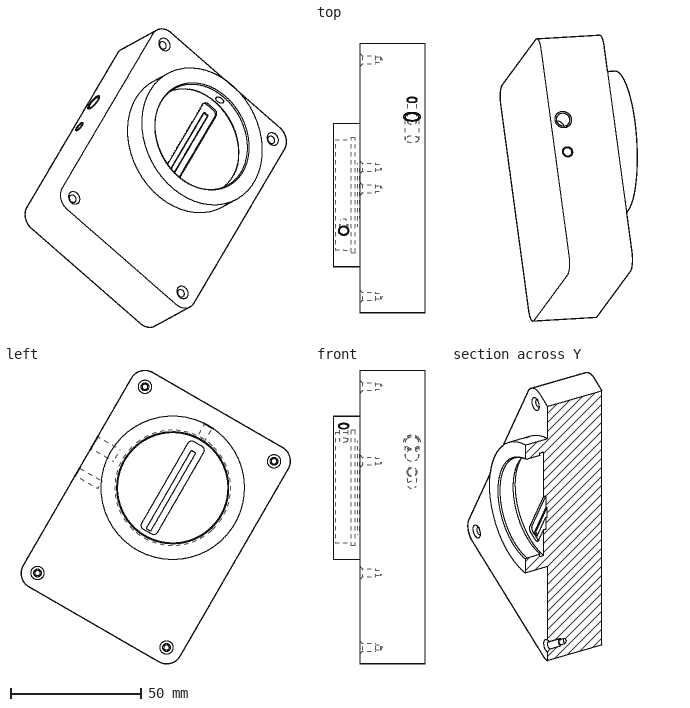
import cadquery as cq
import math

tilt = 30.0
housing_length = 94.9
housing_width = 69.5
housing_thickness = 25.0
corner_radius = 6.0

ring_offset = 13.0
ring_diameter = 55.0
ring_height = 10.1
bore_diameter = 42.3
lip_depth = 6.7
lip_chamfer_radial = 0.35
lip_chamfer_axial = 0.7

groove_width = 1.6
groove_diameter = 44.3

slot_length = 38.8
slot_width = 7.0
slot_corner_radius = 1.75
slot_depth = 1.0
inner_slot_length = 34.6
inner_slot_width = 2.0
inner_slot_corner_radius = 0.3
inner_slot_depth = 0.6
inner_slot_shift = -1.35

thread_step_depth = 0.2
drill_point_angle = 118.0
small_thread_diameter = 4.0
small_tap_diameter = 3.3
large_thread_diameter = 6.5
large_tap_diameter = 5.2

set_screw_setback = 3.9

side_hole_setback = 5.0
side_hole_depth = 10.0

corner_hole_spacing_long = 82.4
corner_hole_spacing_wide = 57.1
corner_thread_diameter = 3.0
corner_tap_diameter = 2.1
corner_thread_depth = 6.0
corner_hole_depth = 8.0
countersink_diameter = 5.1
countersink_angle = 90.0

housing_center_z = -ring_offset
ring_front_x = -ring_height
lip_end_x = ring_front_x + lip_depth
bore_floor_x = lip_end_x + groove_width


def inward_plane(x, z=0.0):
    """Plane at the given X with its normal along +X; local x is Y and local y is Z."""
    return cq.Plane(origin=(x, 0, z), xDir=(0, 1, 0), normal=(1, 0, 0))


def rounded_block(x, z, width, length, depth, radius):
    """Rectangular block reaching from x along +X, with its X-parallel edges rounded."""
    block = cq.Workplane(inward_plane(x, z)).rect(width, length).extrude(depth)
    return block.edges("|X").fillet(radius)


def disc(x, diameter, depth):
    """Cylinder on the ring axis reaching from x along +X."""
    return cq.Workplane(inward_plane(x)).circle(diameter / 2).extrude(depth)


def tapped_hole(plane, thread_diameter, tap_diameter, depth):
    """Tap drill bore with a shallow step of the thread size at its mouth."""
    step = cq.Workplane(plane).circle(thread_diameter / 2).extrude(thread_step_depth)
    bore = cq.Workplane(plane).circle(tap_diameter / 2).extrude(depth)
    return step.union(bore)


def cut_bore(body):
    lip = disc(ring_front_x, bore_diameter, lip_depth)
    groove = disc(lip_end_x, groove_diameter, groove_width)
    chamfer = cq.Solid.makeCone(
        bore_diameter / 2 + lip_chamfer_radial,
        bore_diameter / 2,
        lip_chamfer_axial,
        pnt=cq.Vector(ring_front_x, 0, 0),
        dir=cq.Vector(1, 0, 0),
    )
    return body.cut(lip).cut(groove).cut(cq.Workplane(chamfer))


def cut_stepped_slot(body):
    outer = rounded_block(bore_floor_x, 0, slot_width, slot_length, slot_depth, slot_corner_radius)
    inner = rounded_block(
        bore_floor_x + slot_depth,
        inner_slot_shift,
        inner_slot_width,
        inner_slot_length,
        inner_slot_depth,
        inner_slot_corner_radius,
    )
    return body.cut(outer).cut(inner)


def cut_set_screw_hole(body):
    """Tapped hole from the top of the ring down into the bore."""
    seat_radius = ring_diameter / 2
    rim_drop = seat_radius - math.sqrt(seat_radius**2 - (small_thread_diameter / 2) ** 2)
    mouth = cq.Plane(
        origin=(ring_front_x + set_screw_setback, 0, seat_radius - rim_drop),
        xDir=(1, 0, 0),
        normal=(0, 0, -1),
    )
    wall = (ring_diameter - bore_diameter) / 2
    clearance = cq.Workplane(mouth).circle(small_thread_diameter / 2).extrude(-2 * rim_drop)
    hole = tapped_hole(mouth, small_thread_diameter, small_tap_diameter, wall)
    return body.cut(clearance).cut(hole)


def corner_hole_profile():
    """Half section of a corner hole: local x is the radius, local y the depth."""
    mouth_radius = countersink_diameter / 2
    thread_radius = corner_thread_diameter / 2
    tap_radius = corner_tap_diameter / 2
    countersink_depth = (mouth_radius - thread_radius) / math.tan(math.radians(countersink_angle / 2))
    point_depth = tap_radius / math.tan(math.radians(drill_point_angle / 2))
    return [
        (0, 0),
        (mouth_radius, 0),
        (thread_radius, countersink_depth),
        (thread_radius, corner_thread_depth),
        (tap_radius, corner_thread_depth),
        (tap_radius, corner_hole_depth),
        (0, corner_hole_depth + point_depth),
    ]


def cut_corner_holes(body):
    section = cq.Plane(origin=(0, 0, 0), xDir=(0, 1, 0), normal=(0, 0, -1))
    hole = cq.Workplane(section).polyline(corner_hole_profile()).close().revolve(360, (0, 0), (0, 1))
    for y_side in (-1, 1):
        for z_side in (-1, 1):
            y = y_side * corner_hole_spacing_wide / 2
            z = housing_center_z + z_side * corner_hole_spacing_long / 2
            body = body.cut(hole.translate((0, y, z)))
    return body


def cut_side_hole(body, z, thread_diameter, tap_diameter):
    mouth = cq.Plane(
        origin=(housing_thickness - side_hole_setback, housing_width / 2, z),
        xDir=(1, 0, 0),
        normal=(0, -1, 0),
    )
    return body.cut(tapped_hole(mouth, thread_diameter, tap_diameter, side_hole_depth))


body = rounded_block(
    0, housing_center_z, housing_width, housing_length, housing_thickness, corner_radius
)
body = body.union(disc(ring_front_x, ring_diameter, ring_height))
body = cut_bore(body)
body = cut_stepped_slot(body)
body = cut_set_screw_hole(body)
body = cut_corner_holes(body)
body = cut_side_hole(body, housing_center_z, small_thread_diameter, small_tap_diameter)
body = cut_side_hole(body, 0, large_thread_diameter, large_tap_diameter)

result = body.rotate((0, 0, 0), (1, 0, 0), tilt)